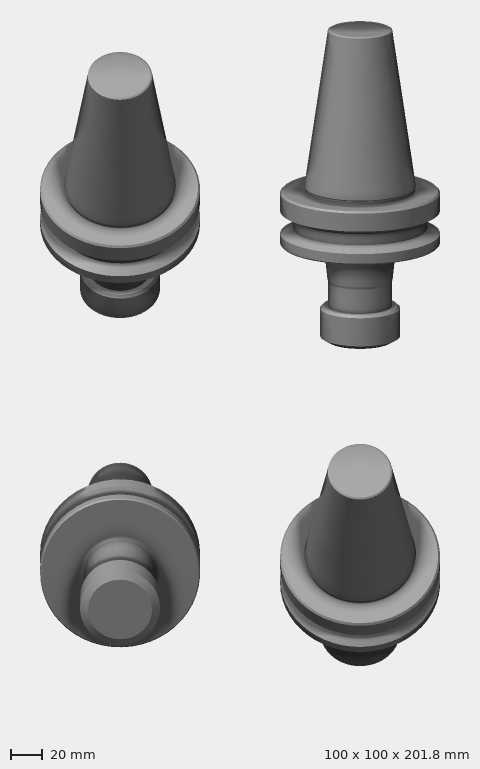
import cadquery as cq

total_height = 201.8

nut_radius = 25.0
nut_face_radius = 20.0
nut_bottom_chamfer_height = 3.0
nut_top_z = 22.8
nut_top_chamfer = 1.6

neck_radius = 20.0
neck_top_z = 38.3
cone_bottom_radius = 20.4
cone_bottom_z = 40.0
cone_top_radius = 22.6
flange_fillet = 2.6

flange_radius = 50.0
flange_bottom_z = 62.5
flange_top_z = 97.0
flange_bottom_chamfer = 0.8
flange_top_chamfer = 1.2
groove_radius = 42.4
groove_floor_bottom_z = 73.3
groove_floor_top_z = 80.5
groove_flank_height = 3.6

taper_large_radius = 35.0
taper_bottom_z = 100.0
taper_ratio = 7 / 24
relief_radius = 34.3
relief_fillet = 0.6
relief_chamfer = taper_large_radius - relief_radius
taper_tip_chamfer = 1.0
taper_tip_chamfer_height = 0.6

cone_top_z = flange_bottom_z - flange_fillet
taper_tip_z = total_height - taper_tip_chamfer_height
taper_tip_radius = taper_large_radius - (taper_tip_z - taper_bottom_z) * taper_ratio / 2

half_section = (
    cq.Workplane("XZ")
    .moveTo(0, 0)
    .lineTo(nut_face_radius, 0)
    .lineTo(nut_radius, nut_bottom_chamfer_height)
    .lineTo(nut_radius, nut_top_z - nut_top_chamfer)
    .lineTo(nut_radius - nut_top_chamfer, nut_top_z)
    .lineTo(neck_radius, nut_top_z)
    .lineTo(neck_radius, neck_top_z)
    .lineTo(cone_bottom_radius, cone_bottom_z)
    .lineTo(cone_top_radius, cone_top_z)
    .radiusArc((cone_top_radius + flange_fillet, flange_bottom_z), flange_fillet)
    .lineTo(flange_radius - flange_bottom_chamfer, flange_bottom_z)
    .lineTo(flange_radius, flange_bottom_z + flange_bottom_chamfer)
    .lineTo(flange_radius, groove_floor_bottom_z - groove_flank_height)
    .lineTo(groove_radius, groove_floor_bottom_z)
    .lineTo(groove_radius, groove_floor_top_z)
    .lineTo(flange_radius, groove_floor_top_z + groove_flank_height)
    .lineTo(flange_radius, flange_top_z - flange_top_chamfer)
    .lineTo(flange_radius - flange_top_chamfer, flange_top_z)
    .lineTo(relief_radius + relief_fillet, flange_top_z)
    .radiusArc((relief_radius, flange_top_z + relief_fillet), relief_fillet)
    .lineTo(relief_radius, taper_bottom_z - relief_chamfer)
    .lineTo(taper_large_radius, taper_bottom_z)
    .lineTo(taper_tip_radius, taper_tip_z)
    .lineTo(taper_tip_radius - taper_tip_chamfer, total_height)
    .lineTo(0, total_height)
    .close()
)

result = half_section.revolve(360, (0, 0, 0), (0, 1, 0))